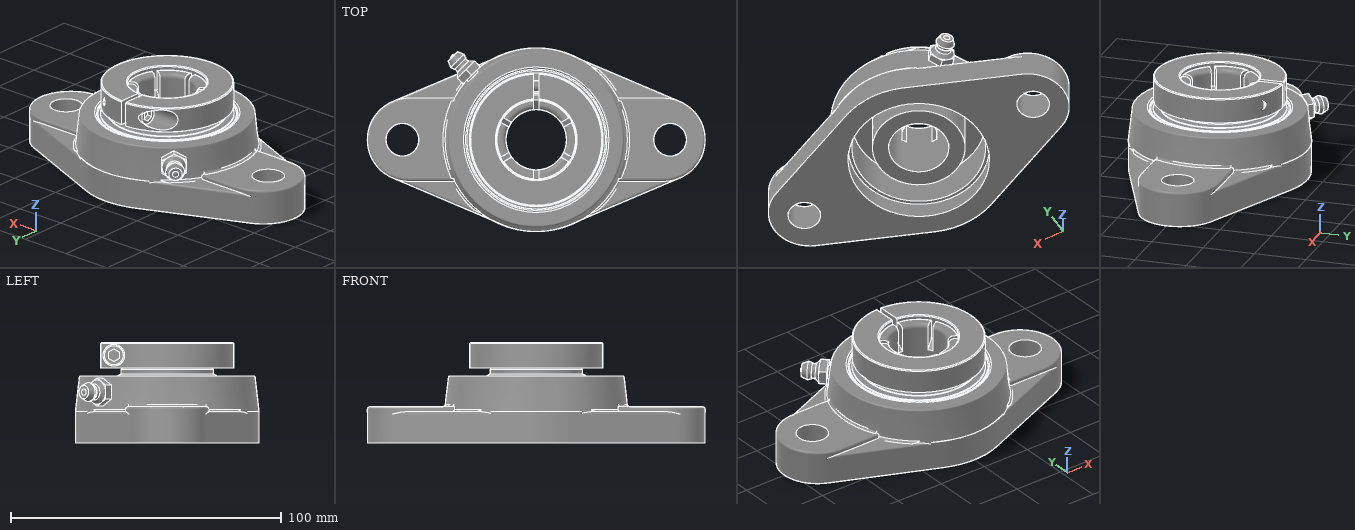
import cadquery as cq
import math

length = 125.0
tab_radius = 15.4
tab_center_x = length / 2 - tab_radius
plate_arc_radius = 31.2
bolt_spacing = 99.0
bolt_hole_diameter = 12.0
pad_height = 11.6
pad_edge_radius = 0.9
tab_height = 13.5
tab_edge_radius = 1.0

hub_base_radius = 34.0
hub_top_z = 24.9
hub_top_radius = 32.5
hub_edge_radius = 0.8
hub_root_radius = 0.8
housing_bore_radius = 26.1
housing_bore_chamfer = 0.8

bearing_bottom_z = 7.5
seal_top_z = 24.6
outer_ring_rim_z = 24.2
outer_ring_chamfer = 0.5
shaft_bore_diameter = 22.2
shaft_bore_radius = shaft_bore_diameter / 2
shoulder_diameter = 34.2
shoulder_radius = shoulder_diameter / 2
shoulder_chamfer = 0.5
sleeve_radius = 14.8
sleeve_top_z = 35.6
sleeve_mouth_radius = 1.9
sleeve_edge_chamfer = 0.2
slot_count = 6
slot_width = 2.0
slot_floor_z = 24.8
seal_radius = 24.8
seal_thickness = 1.2
seal_step_radius = 44.0 / 2
seal_step_height = 0.2
seal_lip_top_radius = 34.8 / 2
seal_lip_foot_radius = 18.4
seal_lip_top_z = 25.5

collar_radius = 24.6
collar_bottom_z = 27.8
collar_top_z = 37.2
collar_edge_chamfer = 0.4
collar_height = collar_top_z - collar_bottom_z
screw_y = 19.8
screw_z = (collar_bottom_z + collar_top_z) / 2
screw_shank_diameter = 4.0
screw_head_diameter = 7.0
counterbore_diameter = 8.0
counterbore_floor_x = -3.8
screw_head_height = 4.0
screw_tip_x = 12.5
socket_across_flats = 4.0
socket_depth = 2.0

nipple_angle = 135.0
nipple_z = 18.9
stem_start = 30.0
stem_radius = 2.5
hex_start = 33.8
hex_end = 36.8
hex_across_flats = 9.0
cone_end = 38.2
cone_end_radius = 3.0
neck_start = 39.0
neck_end = 39.8
neck_radius = 2.8
head_foot_radius = 3.0
head_widest = 41.2
head_radius = 3.5
tip = 43.6
tip_radius = 2.5
ball_radius = 1.6
ball_protrusion = 0.5


def ring(inner_radius, outer_radius, bottom_z, top_z):
    return (
        cq.Workplane("XY", origin=(0, 0, bottom_z))
        .circle(outer_radius)
        .circle(inner_radius)
        .extrude(top_z - bottom_z)
    )


def plate_corners():
    """Ends of the straight plate sides, tangent to the hub foot arcs and to the round tab ends."""
    arc_center_y = hub_base_radius - plate_arc_radius
    side_angle = math.atan2(arc_center_y, tab_center_x) + math.asin(
        (plate_arc_radius - tab_radius) / math.hypot(tab_center_x, arc_center_y)
    )
    arc_x = plate_arc_radius * math.sin(side_angle)
    arc_y = arc_center_y + plate_arc_radius * math.cos(side_angle)
    end_x = tab_center_x + tab_radius * math.sin(side_angle)
    end_y = tab_radius * math.cos(side_angle)
    corners = [(arc_x, arc_y), (end_x, end_y), (end_x, -end_y), (arc_x, -arc_y)]
    return corners + [(-x, -y) for x, y in corners]


def make_base_plate():
    corners = plate_corners()
    arc_x, arc_y = corners[0]
    plate = cq.Workplane("XY").polyline(corners).close().extrude(pad_height)
    hub_foot = (
        cq.Workplane("XY")
        .moveTo(-arc_x, arc_y)
        .threePointArc((0, hub_base_radius), (arc_x, arc_y))
        .lineTo(arc_x, -arc_y)
        .threePointArc((0, -hub_base_radius), (-arc_x, -arc_y))
        .close()
        .extrude(pad_height)
    )
    sharp_core = plate.intersect(cq.Workplane("XY").circle(hub_base_radius).extrude(pad_height))
    rounded_plate = plate.faces(">Z").edges("not (|X or |Y)").fillet(pad_edge_radius)
    return rounded_plate.union(sharp_core).union(hub_foot)


def make_tabs():
    tabs = cq.Workplane("XY").slot2D(length, 2 * tab_radius).extrude(tab_height)
    return tabs.faces(">Z").edges().fillet(tab_edge_radius)


def make_hub():
    cone = (
        cq.Workplane("XZ")
        .moveTo(0, pad_height)
        .lineTo(hub_base_radius, pad_height)
        .lineTo(hub_top_radius, hub_top_z)
        .lineTo(0, hub_top_z)
        .close()
        .revolve(360, (0, 0, 0), (0, 1, 0))
    )
    return cone.faces(">Z").edges().fillet(hub_edge_radius)


def hub_radius_at(z):
    """Radius of the hub cone at height z."""
    taper = (hub_base_radius - hub_top_radius) / (hub_top_z - pad_height)
    return hub_base_radius - taper * (z - pad_height)


def root_fillet(floor_z, footprint):
    """Concave ring between the hub cone and a flat at floor_z, kept within the footprint of that flat."""
    foot_radius = hub_radius_at(floor_z)
    outer_radius = foot_radius + hub_root_radius
    crest_z = floor_z + hub_root_radius
    bow = hub_root_radius * (1 - math.sqrt(0.5))
    fillet_ring = (
        cq.Workplane("XZ")
        .moveTo(housing_bore_radius, floor_z)
        .lineTo(outer_radius, floor_z)
        .threePointArc((foot_radius + bow, floor_z + bow), (hub_radius_at(crest_z), crest_z))
        .lineTo(housing_bore_radius, crest_z)
        .close()
        .revolve(360, (0, 0, 0), (0, 1, 0))
    )
    return fillet_ring.intersect(footprint.extrude(hub_top_z))


def make_housing():
    pad_footprint = cq.Workplane("XY").polyline(plate_corners()).close().offset2D(-pad_edge_radius)
    tab_footprint = cq.Workplane("XY").slot2D(length, 2 * (tab_radius - tab_edge_radius))
    body = (
        make_base_plate()
        .union(make_tabs())
        .union(make_hub())
        .union(root_fillet(pad_height, pad_footprint))
        .union(root_fillet(tab_height, tab_footprint))
    )
    bore = (
        cq.Workplane("XY")
        .circle(housing_bore_radius)
        .extrude(hub_top_z)
        .faces(">Z")
        .workplane(offset=-housing_bore_chamfer)
        .circle(housing_bore_radius)
        .workplane(offset=housing_bore_chamfer)
        .circle(housing_bore_radius + housing_bore_chamfer)
        .loft()
    )
    bolt_holes = (
        cq.Workplane("XY")
        .pushPoints([(-bolt_spacing / 2, 0), (bolt_spacing / 2, 0)])
        .circle(bolt_hole_diameter / 2)
        .extrude(tab_height)
    )
    return body.cut(bore).cut(bolt_holes).cut(nipple_stem())


def revolve_profile(points):
    """Turn a closed profile of (radius, height) points about the bearing axis."""
    return cq.Workplane("XZ").polyline(points).close().revolve(360, (0, 0, 0), (0, 1, 0))


def make_outer_ring():
    return revolve_profile(
        [
            (seal_radius, bearing_bottom_z),
            (housing_bore_radius, bearing_bottom_z),
            (housing_bore_radius, seal_top_z),
            (housing_bore_radius - outer_ring_chamfer, outer_ring_rim_z),
            (seal_radius, outer_ring_rim_z),
        ]
    )


def make_seal():
    seal_bottom_z = seal_top_z - seal_thickness
    step_top_z = seal_top_z + seal_step_height
    return revolve_profile(
        [
            (shoulder_radius, seal_bottom_z),
            (seal_radius, seal_bottom_z),
            (seal_radius, seal_top_z),
            (seal_step_radius, seal_top_z),
            (seal_step_radius, step_top_z),
            (seal_lip_foot_radius, step_top_z),
            (seal_lip_top_radius, seal_lip_top_z),
            (shoulder_radius, seal_lip_top_z),
        ]
    )


def make_inner_ring():
    shoulder = (
        cq.Workplane("XY", origin=(0, 0, bearing_bottom_z))
        .circle(shoulder_radius)
        .extrude(collar_bottom_z - bearing_bottom_z)
        .faces(">Z")
        .chamfer(shoulder_chamfer)
    )
    sleeve = (
        cq.Workplane("XY", origin=(0, 0, bearing_bottom_z))
        .circle(sleeve_radius)
        .extrude(sleeve_top_z - bearing_bottom_z)
        .faces(">Z")
        .chamfer(sleeve_edge_chamfer)
    )
    bore = cq.Workplane("XY").circle(shaft_bore_radius).extrude(sleeve_top_z)
    body = shoulder.union(sleeve).cut(bore)
    body = body.faces(">Z").edges(cq.selectors.RadiusNthSelector(0)).fillet(sleeve_mouth_radius)
    slot_profile = [
        (0, slot_floor_z),
        (shaft_bore_radius, slot_floor_z),
        (sleeve_radius, collar_bottom_z),
        (sleeve_radius, sleeve_top_z),
        (0, sleeve_top_z),
    ]
    slot = cq.Workplane("XZ").polyline(slot_profile).close().extrude(slot_width / 2, both=True)
    for index in range(slot_count):
        body = body.cut(slot.rotate((0, 0, 0), (0, 0, 1), 90 + index * 360 / slot_count))
    return body


def screw_blank():
    """Head and shank of the clamp screw, without the socket."""
    shank = (
        cq.Workplane("YZ", origin=(counterbore_floor_x, screw_y, screw_z))
        .circle(screw_shank_diameter / 2)
        .extrude(screw_tip_x - counterbore_floor_x)
    )
    head = (
        cq.Workplane("YZ", origin=(counterbore_floor_x, screw_y, screw_z))
        .circle(screw_head_diameter / 2)
        .extrude(-screw_head_height)
    )
    return shank.union(head)


def make_screw():
    head_face_x = counterbore_floor_x - screw_head_height
    socket = (
        cq.Workplane("YZ", origin=(head_face_x, screw_y, screw_z))
        .polygon(6, socket_across_flats, circumscribed=True)
        .extrude(socket_depth)
    )
    return screw_blank().cut(socket)


def make_collar():
    body = (
        ring(sleeve_radius, collar_radius, collar_bottom_z, collar_top_z)
        .faces(">Z")
        .edges()
        .chamfer(collar_edge_chamfer)
    )
    split = (
        cq.Workplane("XY", origin=(0, collar_radius / 2, collar_bottom_z))
        .rect(slot_width, collar_radius)
        .extrude(collar_height)
    )
    counterbore = (
        cq.Workplane("YZ", origin=(counterbore_floor_x, screw_y, screw_z))
        .circle(counterbore_diameter / 2)
        .extrude(-collar_radius)
    )
    return body.cut(split).cut(counterbore).cut(screw_blank())


def place_nipple(body):
    """Turn a shape built along +X at height zero onto the nipple axis."""
    return body.rotate((0, 0, 0), (0, 0, 1), nipple_angle).translate((0, 0, nipple_z))


def nipple_stem():
    stem = cq.Workplane("YZ", origin=(stem_start, 0, 0)).circle(stem_radius).extrude(hex_end - stem_start)
    return place_nipple(stem)


def make_nipple():
    ball_center = tip + ball_protrusion - ball_radius
    ball_rim_radius = math.sqrt(ball_radius**2 - (tip - ball_center) ** 2)
    half_rim_angle = math.asin(ball_rim_radius / ball_radius) / 2
    ball_midpoint = (
        ball_center + ball_radius * math.cos(half_rim_angle),
        ball_radius * math.sin(half_rim_angle),
    )
    turned = (
        cq.Workplane("XY")
        .moveTo(hex_end, 0)
        .lineTo(hex_end, hex_across_flats / 2)
        .lineTo(cone_end, cone_end_radius)
        .lineTo(neck_start, neck_radius)
        .lineTo(neck_end, neck_radius)
        .lineTo(neck_end, head_foot_radius)
        .lineTo(head_widest, head_radius)
        .lineTo(tip, tip_radius)
        .lineTo(tip, ball_rim_radius)
        .threePointArc(ball_midpoint, (tip + ball_protrusion, 0))
        .close()
        .revolve(360, (0, 0, 0), (1, 0, 0))
    )
    hexagon = (
        cq.Workplane("YZ", origin=(hex_start, 0, 0))
        .polygon(6, hex_across_flats, circumscribed=True)
        .extrude(hex_end - hex_start)
    )
    return place_nipple(turned.union(hexagon)).union(nipple_stem())


housing = make_housing()
outer_ring = make_outer_ring()
seal = make_seal()
inner_ring = make_inner_ring()
collar = make_collar()
screw = make_screw()
nipple = make_nipple()

result = cq.Compound.makeCompound(
    [
        housing.val(),
        outer_ring.val(),
        seal.val(),
        inner_ring.val(),
        collar.val(),
        screw.val(),
        nipple.val(),
    ]
)